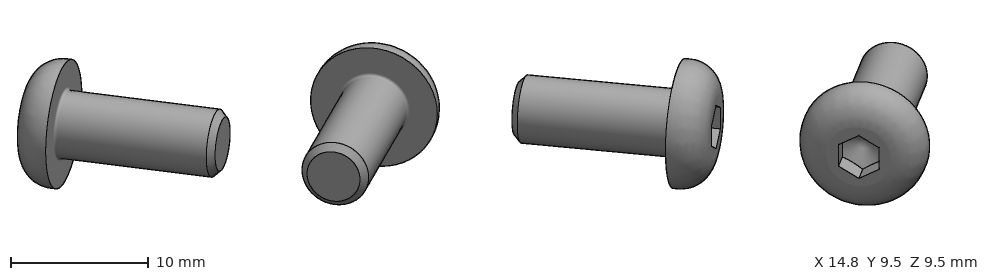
import cadquery as cq
import math

total_length = 14.75
head_diameter = 9.5
head_height = 2.75
dome_radius = 2.37
shank_diameter = 5.0
tip_chamfer = 0.52
neck_fillet = 0.2
socket_across_flats = 3.0
socket_depth = 1.56
socket_cone_angle = 120.0

head_radius = head_diameter / 2
shank_radius = shank_diameter / 2
face_radius = head_radius - dome_radius
socket_corner_radius = socket_across_flats / 2 / math.cos(math.radians(30))


def arc_middle(center, radius, angle):
    """Point on an arc, given its center, radius and angle in degrees."""
    turn = math.radians(angle)
    return (center[0] + radius * math.cos(turn), center[1] + radius * math.sin(turn))


def make_body():
    """Revolve the half profile of head and shank about X."""
    dome_center = (dome_radius, face_radius)
    neck_center = (head_height + neck_fillet, shank_radius + neck_fillet)
    return (
        cq.Workplane("XY")
        .lineTo(0, face_radius)
        .threePointArc(arc_middle(dome_center, dome_radius, 135), (dome_radius, head_radius))
        .lineTo(head_height, head_radius)
        .lineTo(head_height, neck_center[1])
        .threePointArc(arc_middle(neck_center, neck_fillet, 225), (neck_center[0], shank_radius))
        .lineTo(total_length - tip_chamfer, shank_radius)
        .lineTo(total_length, shank_radius - tip_chamfer)
        .lineTo(total_length, 0)
        .close()
        .revolve(360, (0, 0, 0), (1, 0, 0))
    )


def make_socket():
    """Hexagonal socket with corners toward +Z and -Z, its walls running into a conical bottom."""
    cone_depth = socket_corner_radius / math.tan(math.radians(socket_cone_angle / 2))
    full_depth = socket_depth + cone_depth
    hexagon = (
        cq.Workplane("YZ")
        .polygon(6, 2 * socket_corner_radius)
        .extrude(full_depth)
        .rotate((0, 0, 0), (1, 0, 0), 90)
    )
    mouth_radius = socket_corner_radius * full_depth / cone_depth
    pointed_bore = (
        cq.Workplane("XY")
        .lineTo(0, mouth_radius)
        .lineTo(full_depth, 0)
        .close()
        .revolve(360, (0, 0, 0), (1, 0, 0))
    )
    return hexagon.intersect(pointed_bore)


result = make_body().cut(make_socket())